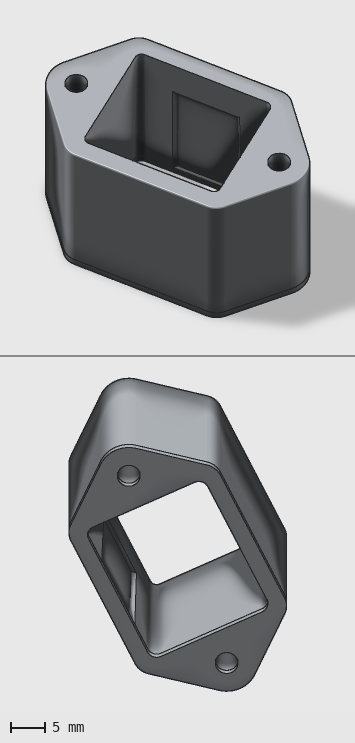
import cadquery as cq
import math

length = 42.0
width = 24.2
height = 25.7
base_thickness = 1.15

hole_spacing = 33.0
end_radius = (length - hole_spacing) / 2
shoulder_half_length = 12.22
shoulder_radius = 3.0
top_edge_radius = 0.3

hole_diameter = 3.3
cavity_length = 21.92
cavity_width = 18.4
cavity_corner_radius = 1.0
cavity_draft = 1.0

recess_length = 10.9
recess_depth = 0.6
recess_drop = 6.35


def tip_half_length():
    """X of the sharp tip whose two slanted sides are tangent to the end arc."""
    to_hole_x = hole_spacing / 2 - shoulder_half_length
    to_hole_y = width / 2
    to_hole = math.hypot(to_hole_x, to_hole_y)
    slant = math.atan2(to_hole_x, to_hole_y) + math.asin(end_radius / to_hole)
    return shoulder_half_length + to_hole_y * math.tan(slant)


def outline_prism(bottom, top):
    """Solid block with the rounded six-sided outline between two heights."""
    tip = tip_half_length()
    shoulder = shoulder_half_length
    side = width / 2
    corners = [
        (-tip, 0),
        (-shoulder, -side),
        (shoulder, -side),
        (tip, 0),
        (shoulder, side),
        (-shoulder, side),
    ]
    block = cq.Workplane("XY", origin=(0, 0, bottom)).polyline(corners).close().extrude(top - bottom)
    block = block.edges("|Z and (<Y or >Y)").fillet(shoulder_radius)
    return block.edges("|Z and (<X or >X)").fillet(end_radius)


def openings():
    """Drafted central opening and two straight screw holes, full height."""
    cavity = (
        cq.Workplane("XY", origin=(0, 0, height))
        .sketch()
        .rect(cavity_length, cavity_width)
        .vertices()
        .fillet(cavity_corner_radius)
        .finalize()
        .extrude(-height, taper=-cavity_draft)
    )
    holes = (
        cq.Workplane("XY")
        .pushPoints([(-hole_spacing / 2, 0), (hole_spacing / 2, 0)])
        .circle(hole_diameter / 2)
        .extrude(height)
    )
    return cavity.union(holes)


def wall_recesses():
    """One drafted bar across the cavity that sinks a recess into each long wall."""
    wall = cavity_width / 2 + recess_drop * math.tan(math.radians(cavity_draft))
    floor = wall + recess_depth
    mouth_end = recess_length / 2
    floor_end = mouth_end - recess_depth
    section = [
        (-floor_end, -floor),
        (floor_end, -floor),
        (mouth_end, -wall),
        (mouth_end, wall),
        (floor_end, floor),
        (-floor_end, floor),
        (-mouth_end, wall),
        (-mouth_end, -wall),
    ]
    recess_top = height - recess_drop
    return (
        cq.Workplane("XY", origin=(0, 0, recess_top))
        .polyline(section)
        .close()
        .extrude(base_thickness - recess_top, taper=-cavity_draft)
    )


def make_base_plate():
    """Thin plate under the housing with the same outline and openings."""
    return outline_prism(0, base_thickness).cut(openings())


def make_housing():
    """Tall body with a rounded top rim, openings and inner wall recesses."""
    block = outline_prism(base_thickness, height).faces(">Z").edges().fillet(top_edge_radius)
    return block.cut(openings()).cut(wall_recesses())


base_plate = make_base_plate()
housing = make_housing()

result = cq.Compound.makeCompound([base_plate.val(), housing.val()])